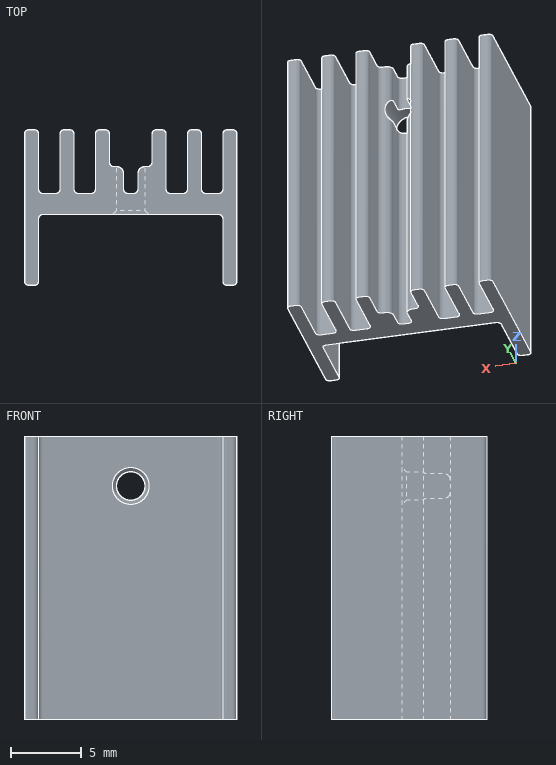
import cadquery as cq

WIDTH = 15.0
DEPTH = 11.0
HEIGHT = 20.0

WALL = 1.0
LEG_LENGTH = 5.0
WEB_THICKNESS = 1.5
FIN_GAP = 1.5
FINS_PER_SIDE = 3
CORNER_RADIUS = 0.3

SLOT_WIDTH = 1.0
SHOULDER_DEPTH = 2.6
SHOULDER_RADIUS = 0.5

HOLE_DIAMETER = 2.0
HOLE_FROM_TOP = 3.5
COUNTERSINK_DIAMETER = 2.6
COUNTERSINK_DEPTH = 0.3

HALF_WIDTH = WIDTH / 2
WEB_FRONT = LEG_LENGTH
WEB_BACK = WEB_FRONT + WEB_THICKNESS
SHOULDER_Y = DEPTH - SHOULDER_DEPTH
FIN_PITCH = WALL + FIN_GAP
CHANNEL_HALF_WIDTH = HALF_WIDTH - (FINS_PER_SIDE - 1) * FIN_PITCH - WALL
HOLE_Z = HEIGHT - HOLE_FROM_TOP
EDGE_TOLERANCE = 0.01


def block(x_min, x_max, y_min, y_max):
    """Full-height block between the given X and Y limits."""
    return cq.Workplane("XY").box(
        x_max - x_min, y_max - y_min, HEIGHT, centered=False
    ).translate((x_min, y_min, 0))


def sharp_section():
    """Extruded profile with all corners still sharp."""
    body = block(-HALF_WIDTH, HALF_WIDTH, 0, DEPTH)
    leg_inner_x = HALF_WIDTH - WALL
    body = body.cut(block(-leg_inner_x, leg_inner_x, 0, WEB_FRONT))
    for gap in range(FINS_PER_SIDE - 1):
        x_start = -HALF_WIDTH + WALL + gap * FIN_PITCH
        x_end = x_start + FIN_GAP
        body = body.cut(block(x_start, x_end, WEB_BACK, DEPTH))
        body = body.cut(block(-x_end, -x_start, WEB_BACK, DEPTH))
    body = body.cut(block(-CHANNEL_HALF_WIDTH, CHANNEL_HALF_WIDTH, SHOULDER_Y, DEPTH))
    return body.cut(block(-SLOT_WIDTH / 2, SLOT_WIDTH / 2, WEB_BACK, DEPTH))


def round_corners(body):
    """Round every vertical edge, the shoulder edges with the larger radius."""
    shoulder_edges = cq.selectors.BoxSelector(
        (-SLOT_WIDTH / 2 - EDGE_TOLERANCE, SHOULDER_Y - EDGE_TOLERANCE, 0),
        (SLOT_WIDTH / 2 + EDGE_TOLERANCE, SHOULDER_Y + EDGE_TOLERANCE, HEIGHT),
    )
    vertical_edges = cq.selectors.ParallelDirSelector(cq.Vector(0, 0, 1))
    shoulder_vertical = vertical_edges & shoulder_edges
    other_vertical = vertical_edges - shoulder_edges
    body = body.edges(shoulder_vertical).fillet(SHOULDER_RADIUS)
    return body.edges(other_vertical).fillet(CORNER_RADIUS)


def mounting_hole():
    """Cutter for the hole along Y, with its countersink on the leg side of the web."""
    centre = cq.Vector(0, WEB_FRONT, HOLE_Z)
    along_y = cq.Vector(0, 1, 0)
    bore = cq.Solid.makeCylinder(HOLE_DIAMETER / 2, DEPTH - WEB_FRONT, centre, along_y)
    countersink = cq.Solid.makeCone(
        COUNTERSINK_DIAMETER / 2, HOLE_DIAMETER / 2, COUNTERSINK_DEPTH, centre, along_y
    )
    return bore.fuse(countersink)


result = round_corners(sharp_section()).cut(mounting_hole())